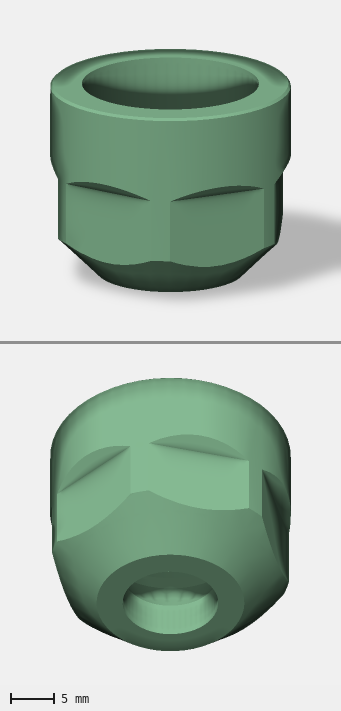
import cadquery as cq
import math

body_diameter = 27.7
height = 22.5
top_chamfer = 0.28
nose_diameter = 17.0

across_flats = 24.99
flat_count = 6
cut_clearance = 0.28
flat_top_z = 12.52

bore_diameter = 20.4
bore_depth = 6.62
relief_diameter = 22.5
relief_taper_length = 2.38
floor_depth = 11.97
floor_fillet = 0.83
seat_diameter = 17.0
hole_diameter = 11.0
recess_depth = 1.0
seat_angle = 30.0

body_radius = body_diameter / 2
nose_radius = nose_diameter / 2
bore_radius = bore_diameter / 2
relief_radius = relief_diameter / 2
seat_radius = seat_diameter / 2
hole_radius = hole_diameter / 2

nose_height = body_radius - nose_radius
bore_bottom_z = height - bore_depth
relief_top_z = bore_bottom_z - relief_taper_length
floor_z = height - floor_depth
seat_top_z = floor_z - recess_depth
seat_depth = (seat_radius - hole_radius) / math.tan(math.radians(seat_angle))
seat_bottom_z = seat_top_z - seat_depth


def make_body():
    """Turned outside shape with a conical nose and a chamfered top rim."""
    return (
        cq.Workplane("XZ")
        .polyline([
            (0, 0),
            (nose_radius, 0),
            (body_radius, nose_height),
            (body_radius, height - top_chamfer),
            (body_radius - top_chamfer, height),
            (0, height),
        ])
        .close()
        .revolve(360, (0, 0), (0, 1))
    )


def make_cavity():
    """Bore, tapered relief, filleted floor, recess, conical seat and through hole."""
    fillet_mid_offset = floor_fillet * (1 - math.sqrt(0.5))
    return (
        cq.Workplane("XZ")
        .moveTo(0, 0)
        .lineTo(hole_radius, 0)
        .lineTo(hole_radius, seat_bottom_z)
        .lineTo(seat_radius, seat_top_z)
        .lineTo(seat_radius, floor_z)
        .lineTo(relief_radius - floor_fillet, floor_z)
        .threePointArc(
            (relief_radius - fillet_mid_offset, floor_z + fillet_mid_offset),
            (relief_radius, floor_z + floor_fillet),
        )
        .lineTo(relief_radius, relief_top_z)
        .lineTo(bore_radius, bore_bottom_z)
        .lineTo(bore_radius, height)
        .lineTo(0, height)
        .close()
        .revolve(360, (0, 0), (0, 1))
    )


def make_flat_cutter():
    """Material outside the +Y flat, with a 45 degree sloped upper end."""
    flat_y = across_flats / 2
    reach = body_radius - flat_y + cut_clearance
    return (
        cq.Workplane("YZ")
        .polyline([
            (flat_y, 0),
            (flat_y, flat_top_z),
            (flat_y + reach, flat_top_z + reach),
            (flat_y + reach, 0),
        ])
        .close()
        .extrude(body_radius, both=True)
    )


result = make_body().cut(make_cavity())
flat_cutter = make_flat_cutter()
for index in range(flat_count):
    result = result.cut(flat_cutter.rotate((0, 0, 0), (0, 0, 1), index * 360 / flat_count))